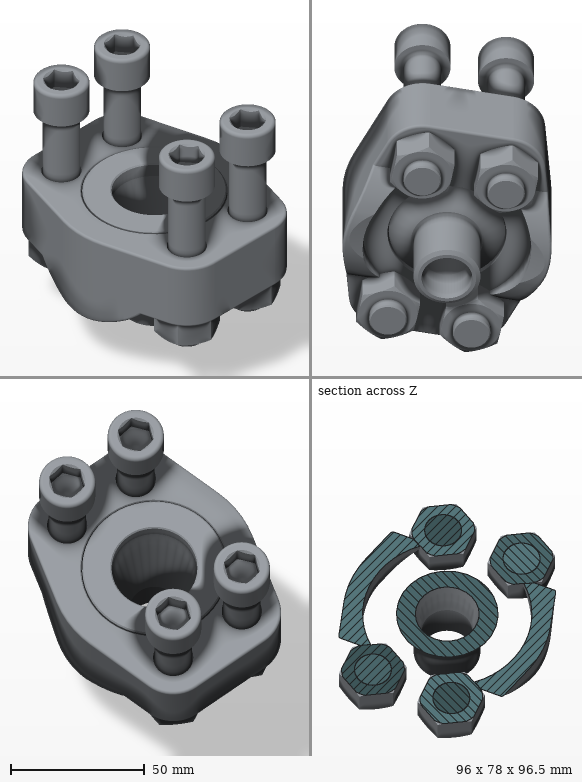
import cadquery as cq
import math


bolt_spacing_x = 66.7
bolt_spacing_y = 31.8
bolt_points = [
    (side_x * bolt_spacing_x / 2, side_y * bolt_spacing_y / 2)
    for side_x in (-1, 1)
    for side_y in (-1, 1)
]

flange_length = 96.0
flange_width = 78.0
flange_thickness = 27.0
flange_edge_fillet = 1.0
belly_depth = 38.0
belly_half_width = 26.0
collar_recess_diameter = 54.75
collar_recess_depth = 12.0
collar_recess_chamfer = 0.4
nipple_hole_diameter = 44.45
relief_diameter = 63.0
relief_flare_diameter = 74.0
relief_flare_height = 1.6
bolt_hole_diameter = 15.0

nipple_standout = 0.6
nipple_bottom = -54.5
collar_diameter = 54.0
collar_edge_chamfer = 0.5
nipple_body_diameter = 43.5
shoulder_depth = 31.5
shoulder_height = 6.0
tail_diameter = 25.0
tail_fillet = 0.95
tail_chamfer_width = 1.6
tail_chamfer_height = 1.0
mouth_diameter = 32.0
mouth_chamfer = 0.5
mouth_depth = 5.0
bore_diameter = 19.0
bore_cone_length = 35.0

screw_diameter = 14.0
screw_length = 70.0
head_diameter = 21.0
head_height = 14.0
head_edge_fillet = 1.4
head_seat_height = 28.0
neck_fillet = 1.0
tip_diameter = 13.0
socket_across_flats = 12.0
socket_turn = -22.0
socket_depth = 8.0
socket_mouth_diameter = 13.68
socket_floor_diameter = 11.8
socket_floor_angle = 120.0

nut_across_flats = 22.0
nut_height = 11.0
nut_chamfer_angle = 30.0

arc_middle_inset = 1 - math.sqrt(0.5)


def across_corners(across_flats):
    return across_flats / math.cos(math.pi / 6)


def revolve_about_z(profile):
    return profile.close().revolve(360, (0, 0, 0), (0, 1, 0))


def flange_outline():
    """Four corner arcs around the bolts and two end arcs around the axis, joined by tangent lines."""
    end_radius = flange_width / 2
    corner_x = bolt_spacing_x / 2
    corner_y = bolt_spacing_y / 2
    corner_radius = flange_length / 2 - corner_x
    line_tilt = math.asin((end_radius - corner_radius) / math.hypot(corner_x, corner_y))
    line_tilt -= math.atan2(corner_y, corner_x)
    tangent_angle = math.pi / 2 - line_tilt
    middle_angle = tangent_angle / 2
    end_x = end_radius * math.cos(tangent_angle)
    end_y = end_radius * math.sin(tangent_angle)

    def corner_point(angle, side_x, side_y):
        x = corner_x + corner_radius * math.cos(angle)
        y = corner_y + corner_radius * math.sin(angle)
        return (side_x * x, side_y * y)

    return (
        cq.Workplane("XY")
        .moveTo(*corner_point(0, 1, -1))
        .lineTo(*corner_point(0, 1, 1))
        .threePointArc(corner_point(middle_angle, 1, 1), corner_point(tangent_angle, 1, 1))
        .lineTo(end_x, end_y)
        .threePointArc((0, end_radius), (-end_x, end_y))
        .lineTo(*corner_point(tangent_angle, -1, 1))
        .threePointArc(corner_point(middle_angle, -1, 1), corner_point(0, -1, 1))
        .lineTo(*corner_point(0, -1, -1))
        .threePointArc(corner_point(middle_angle, -1, -1), corner_point(tangent_angle, -1, -1))
        .lineTo(-end_x, -end_y)
        .threePointArc((0, -end_radius), (end_x, -end_y))
        .lineTo(*corner_point(tangent_angle, 1, -1))
        .threePointArc(corner_point(middle_angle, 1, -1), corner_point(0, 1, -1))
        .close()
    )


def belly_block():
    """Block with a flat underside and a round belly in the middle, longer and wider than the flange."""
    return (
        cq.Workplane("XZ")
        .moveTo(-flange_length, 0)
        .lineTo(-flange_length, -flange_thickness)
        .lineTo(-belly_half_width, -flange_thickness)
        .threePointArc((0, -belly_depth), (belly_half_width, -flange_thickness))
        .lineTo(flange_length, -flange_thickness)
        .lineTo(flange_length, 0)
        .close()
        .extrude(flange_width, both=True)
    )


def is_lower_rim_edge(edge):
    """True for the edges around the underside, but not for the long creases beside the belly."""
    box = edge.BoundingBox()
    tolerance = 0.01
    is_low = box.zmax < -flange_thickness + tolerance
    is_crease = box.ylen > flange_width / 2
    return is_low and not is_crease


def is_end_edge(edge):
    """True for the straight lower edges at the two X ends of the flange."""
    return abs(edge.Center().y) < 1 and edge.BoundingBox().ylen > bolt_spacing_y / 2


def nipple_hole_cutter():
    """Collar recess, nipple hole and a wide flared relief through the belly."""
    recess_radius = collar_recess_diameter / 2
    hole_radius = nipple_hole_diameter / 2
    relief_radius = relief_diameter / 2
    return revolve_about_z(
        cq.Workplane("XZ")
        .lineTo(recess_radius + collar_recess_chamfer, 0)
        .lineTo(recess_radius, -collar_recess_chamfer)
        .lineTo(recess_radius, -collar_recess_depth)
        .lineTo(hole_radius, -collar_recess_depth)
        .lineTo(hole_radius, -flange_thickness)
        .lineTo(relief_radius, -flange_thickness)
        .lineTo(relief_radius, -belly_depth + relief_flare_height)
        .lineTo(relief_flare_diameter / 2, -belly_depth)
        .lineTo(0, -belly_depth)
    )


def build_flange():
    body = flange_outline().extrude(-belly_depth).intersect(belly_block())
    body = body.faces(">Z").edges().fillet(flange_edge_fillet)
    rim_edges = [
        edge for edge in body.edges().vals() if is_lower_rim_edge(edge) and not is_end_edge(edge)
    ]
    body = body.newObject(rim_edges).fillet(flange_edge_fillet)
    bolt_holes = (
        cq.Workplane("XY").pushPoints(bolt_points).circle(bolt_hole_diameter / 2).extrude(-flange_thickness)
    )
    return body.cut(nipple_hole_cutter()).cut(bolt_holes)


def build_nipple():
    """Collar, body, conical shoulder and tail, bored with a tapering passage."""
    collar_radius = collar_diameter / 2
    body_radius = nipple_body_diameter / 2
    tail_radius = tail_diameter / 2
    mouth_radius = mouth_diameter / 2
    bore_radius = bore_diameter / 2
    inset = arc_middle_inset * tail_fillet
    return revolve_about_z(
        cq.Workplane("XZ")
        .moveTo(mouth_radius + mouth_chamfer, nipple_standout)
        .lineTo(collar_radius - collar_edge_chamfer, nipple_standout)
        .lineTo(collar_radius, nipple_standout - collar_edge_chamfer)
        .lineTo(collar_radius, -collar_recess_depth)
        .lineTo(body_radius, -collar_recess_depth)
        .lineTo(body_radius, -shoulder_depth + shoulder_height)
        .lineTo(tail_radius + tail_fillet, -shoulder_depth)
        .threePointArc(
            (tail_radius + inset, -shoulder_depth - inset),
            (tail_radius, -shoulder_depth - tail_fillet),
        )
        .lineTo(tail_radius, nipple_bottom + tail_chamfer_height)
        .lineTo(tail_radius - tail_chamfer_width, nipple_bottom)
        .lineTo(bore_radius, nipple_bottom)
        .lineTo(bore_radius, -mouth_depth - bore_cone_length)
        .lineTo(mouth_radius, -mouth_depth)
        .lineTo(mouth_radius, nipple_standout - mouth_chamfer)
    )


def socket_cutters():
    """Hexagon socket, its conical floor and the countersink at its mouth."""
    floor_height = head_height - socket_depth
    hexagon = (
        cq.Workplane("XY")
        .workplane(offset=floor_height)
        .transformed(rotate=(0, 0, socket_turn))
        .polygon(6, across_corners(socket_across_flats))
        .extrude(socket_depth)
    )
    floor_radius = socket_floor_diameter / 2
    floor_drop = floor_radius / math.tan(math.radians(socket_floor_angle / 2))
    floor = cq.Solid.makeCone(0, floor_radius, floor_drop, pnt=cq.Vector(0, 0, floor_height - floor_drop))
    mouth_radius = socket_mouth_diameter / 2
    mouth = cq.Solid.makeCone(0, mouth_radius, mouth_radius, pnt=cq.Vector(0, 0, head_height - mouth_radius))
    return [hexagon, cq.Workplane("XY").add(floor), cq.Workplane("XY").add(mouth)]


def build_screw():
    """Socket head screw on the Z axis, with the underside of its head at z = 0."""
    head_radius = head_diameter / 2
    shank_radius = screw_diameter / 2
    tip_chamfer = (screw_diameter - tip_diameter) / 2
    head_inset = arc_middle_inset * head_edge_fillet
    neck_inset = arc_middle_inset * neck_fillet
    screw_body = revolve_about_z(
        cq.Workplane("XZ")
        .lineTo(0, head_height)
        .lineTo(head_radius - head_edge_fillet, head_height)
        .threePointArc(
            (head_radius - head_inset, head_height - head_inset),
            (head_radius, head_height - head_edge_fillet),
        )
        .lineTo(head_radius, 0)
        .lineTo(shank_radius + neck_fillet, 0)
        .threePointArc((shank_radius + neck_inset, -neck_inset), (shank_radius, -neck_fillet))
        .lineTo(shank_radius, tip_chamfer - screw_length)
        .lineTo(shank_radius - tip_chamfer, -screw_length)
        .lineTo(0, -screw_length)
    )
    for cutter in socket_cutters():
        screw_body = screw_body.cut(cutter)
    return screw_body


def build_nut():
    """Hexagon nut on the Z axis, chamfered at both ends, with its top face at z = 0."""
    corner_radius = across_corners(nut_across_flats) / 2
    chamfer_width = corner_radius - nut_across_flats / 2
    chamfer_height = chamfer_width * math.tan(math.radians(nut_chamfer_angle))
    prism = cq.Workplane("XY").polygon(6, 2 * corner_radius).extrude(-nut_height)
    chamfered_blank = (
        cq.Workplane("XY")
        .circle(corner_radius)
        .extrude(-nut_height)
        .edges()
        .chamfer(chamfer_height, chamfer_width)
    )
    hole = cq.Workplane("XY").circle(screw_diameter / 2).extrude(-nut_height)
    return prism.intersect(chamfered_blank).cut(hole)


flange = build_flange()
nipple = build_nipple()
screw = build_screw()
nut = build_nut()
screws = [screw.translate((x, y, head_seat_height)).val() for x, y in bolt_points]
nuts = [nut.translate((x, y, -flange_thickness)).val() for x, y in bolt_points]

result = cq.Compound.makeCompound([flange.val(), nipple.val(), *screws, *nuts])